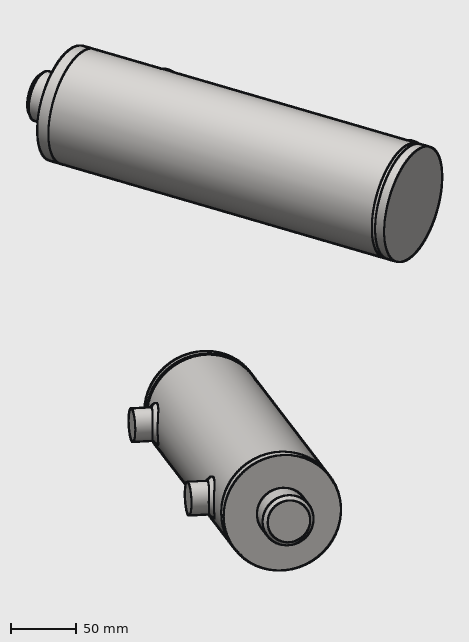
import cadquery as cq

total_length = 330.0
body_diameter = 92.0
overall_width = 109.0

rod_diameter = 40.0
rod_length = 25.0
rod_chamfer = 3.3

head_length = 10.0
end_weld_length = 3.0
end_cap_length = 8.0
barrel_length = total_length - rod_length - head_length - end_weld_length - end_cap_length

port_diameter = 26.0
port_positions = [79.2, 294.7]
port_tip = overall_width - body_diameter / 2
port_weld_leg = 3.3

head_start = rod_length
barrel_start = head_start + head_length
end_weld_start = barrel_start + barrel_length
end_cap_start = end_weld_start + end_weld_length


def round_section(start, length, diameter):
    """Solid cylinder along the main axis."""
    return cq.Workplane("YZ", origin=(start, 0, 0)).circle(diameter / 2).extrude(length)


def make_rod():
    """Rod end with a chamfered tip, standing on the head."""
    return round_section(0, rod_length, rod_diameter).faces("<X").chamfer(rod_chamfer)


def port_cylinder(position):
    """Full port cylinder from the main axis out to the port tip."""
    return (
        cq.Workplane("XZ", origin=(position, 0, 0))
        .circle(port_diameter / 2)
        .extrude(-port_tip)
    )


def make_port(position):
    """Port whose inner end is shaped to sit on the barrel."""
    return port_cylinder(position).cut(barrel)


def make_port_weld(position):
    """Sloped weld bead that follows the curved joint between port and barrel."""
    cylinder = port_cylinder(position)
    joined = barrel.union(cylinder)
    joint_region = cq.selectors.BoxSelector(
        (position - port_diameter, body_diameter / 4, -port_diameter),
        (position + port_diameter, (body_diameter / 2 + port_tip) / 2, port_diameter),
    )
    beaded = joined.edges(joint_region).chamfer(port_weld_leg)
    return beaded.cut(barrel).cut(cylinder)


rod = make_rod()
head = round_section(head_start, head_length, body_diameter)
barrel = round_section(barrel_start, barrel_length, body_diameter)
end_weld = round_section(end_weld_start, end_weld_length, body_diameter)
end_cap = round_section(end_cap_start, end_cap_length, body_diameter)

ports = []
port_welds = []
for port_position in port_positions:
    ports.extend(make_port(port_position).solids().vals())
    port_welds.extend(make_port_weld(port_position).solids().vals())

result = cq.Compound.makeCompound([
    rod.val(),
    head.val(),
    barrel.val(),
    end_weld.val(),
    end_cap.val(),
    *ports,
    *port_welds,
])